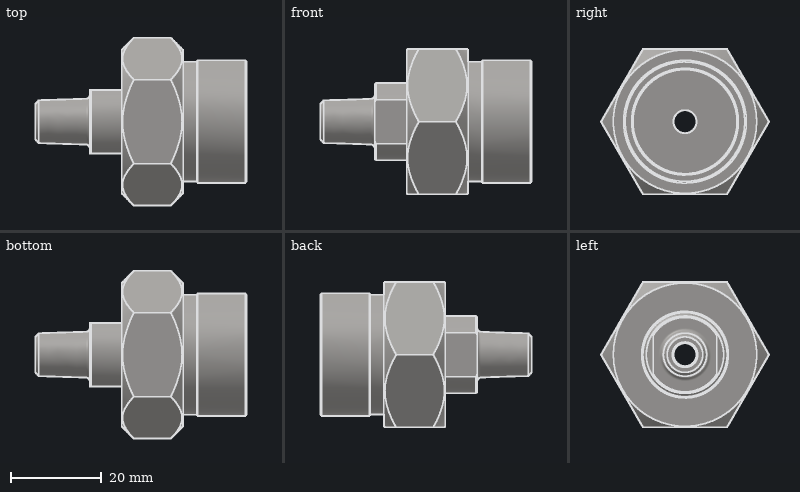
import cadquery as cq
import math

overall_length = 46.5
shoulder_x = 11.95
nut_front_x = 18.95
nut_back_x = 32.5
barrel_x = 35.75

bore_diameter = 5.0
bore_chamfer = 0.3
tip_radius = 3.9
tip_chamfer_length = 0.8
taper_front_radius = 4.75
taper_back_radius = 5.05
root_fillet = 0.75
body_diameter = 17.0
body_chamfer = 0.33
flats_width = 14.0
flats_end_x = nut_front_x
flats_runout = 0.5
flange_diameter = 22.9
flange_thickness = 2.8
flange_fillet = 0.75

across_flats = 32.0
across_corners = across_flats / math.cos(math.radians(30))
hex_chamfer_radius = 15.75
lip_thickness = 2.32
lip_hole_diameter = 18.5
lip_hole_chamfer = 0.3
nut_bore_diameter = 23.5
neck_diameter = 26.4
barrel_diameter = 27.0
barrel_chamfer = 0.35

flange_x = nut_front_x + lip_thickness
flange_back_x = flange_x + flange_thickness


def cylinder_x(diameter, start_x, end_x):
    """Solid cylinder on the X axis between two stations."""
    return cq.Workplane("YZ", origin=(start_x, 0, 0)).circle(diameter / 2).extrude(end_x - start_x)


def revolve_x(profile):
    """Full turn of an (X, radius) profile around the X axis."""
    return profile.close().revolve(360, (0, 0, 0), (1, 0, 0))


def countersink_x(diameter, face_x, size):
    """Cutter for a 45 degree chamfer where a hole opens in a face toward -X."""
    radius = diameter / 2
    return revolve_x(
        cq.Workplane("XY")
        .moveTo(face_x, 0)
        .lineTo(face_x, radius + size)
        .lineTo(face_x + size, radius)
        .lineTo(face_x + size, 0)
    )


def make_nipple():
    """Tapered spigot, wrench section with two flats, and a retaining flange."""
    body_radius = body_diameter / 2
    flange_radius = flange_diameter / 2
    arc_offset = 1 - math.sqrt(0.5)
    root_x = shoulder_x - root_fillet
    root_mid = (
        root_x + root_fillet * math.sqrt(0.5),
        taper_back_radius + root_fillet * arc_offset,
    )
    flange_mid = (
        flange_x - flange_fillet * arc_offset,
        body_radius + flange_fillet * arc_offset,
    )
    nipple = revolve_x(
        cq.Workplane("XY")
        .moveTo(0, 0)
        .lineTo(0, tip_radius)
        .lineTo(tip_chamfer_length, taper_front_radius)
        .lineTo(root_x, taper_back_radius)
        .threePointArc(root_mid, (shoulder_x, taper_back_radius + root_fillet))
        .lineTo(shoulder_x, body_radius - body_chamfer)
        .lineTo(shoulder_x + body_chamfer, body_radius)
        .lineTo(flange_x - flange_fillet, body_radius)
        .threePointArc(flange_mid, (flange_x, body_radius + flange_fillet))
        .lineTo(flange_x, flange_radius)
        .lineTo(flange_back_x, flange_radius)
        .lineTo(flange_back_x, 0)
    )

    flat_y = flats_width / 2
    for side in (-1, 1):
        flat_cutter = (
            cq.Workplane("XY")
            .moveTo(shoulder_x, side * flat_y)
            .lineTo(flats_end_x, side * flat_y)
            .lineTo(flats_end_x + flats_runout, side * body_radius)
            .lineTo(shoulder_x, side * body_radius)
            .close()
            .extrude(body_radius, both=True)
        )
        nipple = nipple.cut(flat_cutter)

    nipple = nipple.cut(cylinder_x(bore_diameter, 0, flange_back_x))
    return nipple.cut(countersink_x(bore_diameter, 0, bore_chamfer))


def make_hexagon():
    """Hexagon with flats toward +Z and -Z and corners chamfered at 45 degrees on both ends."""
    hexagon = (
        cq.Workplane("YZ", origin=(nut_front_x, 0, 0))
        .polygon(6, across_corners)
        .extrude(nut_back_x - nut_front_x)
    )
    corner_radius = across_corners / 2
    chamfer = corner_radius - hex_chamfer_radius
    envelope = cylinder_x(across_corners, nut_front_x, nut_back_x).edges().chamfer(chamfer)
    return hexagon.intersect(envelope)


def make_nut():
    """Hexagon with a stepped barrel behind it and an inward lip at the front."""
    step = (barrel_diameter - neck_diameter) / 2
    neck = cylinder_x(neck_diameter, nut_back_x, barrel_x)
    barrel = (
        cylinder_x(barrel_diameter, barrel_x - step, overall_length)
        .faces("<X").chamfer(step)
        .faces(">X").edges().chamfer(barrel_chamfer)
    )
    nut = make_hexagon().union(neck).union(barrel)
    nut = nut.cut(cylinder_x(lip_hole_diameter, nut_front_x, overall_length))
    nut = nut.cut(cylinder_x(nut_bore_diameter, flange_x, overall_length))
    return nut.cut(countersink_x(lip_hole_diameter, nut_front_x, lip_hole_chamfer))


nipple = make_nipple()
nut = make_nut()
result = cq.Compound.makeCompound([nipple.val(), nut.val()])